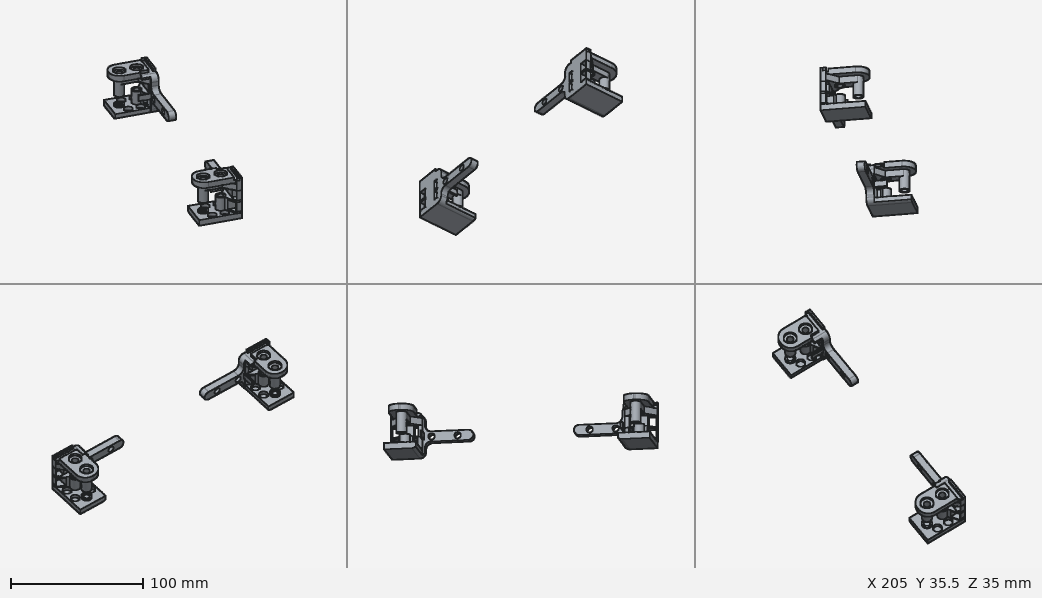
import cadquery as cq

overall_length = 205.0

base_thickness = 5.0
lower_gusset_top = 15.5
upper_gusset_bottom = 24.5
plate_bottom = 30.1
wing_top = 32.8
bracket_height = 35.0

wall_depth = 5.5
wall_width = 26.5
wall_corner_radius = 5.0
arm_depth = 6.2
arm_width = 8.0
arm_end = 63.8
arm_height = 15.5
arm_root_radius = 5.0
arm_hole_diameter = 5.0
arm_hole_xs = (31.5, 51.7)

relief_width = 2.5
relief_depth = 4.3
lip_depth = 1.8
lip_width = 19.3
groove_end_wall = 0.5

outer_inset = 0.2
base_width = 24.5
base_depth = 34.6
plate_left = 2.5
plate_right = 21.5
plate_depth = 35.5
plate_corner_radius = 9.0
wing_depth = 13.0

pivot_x = base_width / 2
boss_depth = 12.7
pin_depth = 26.9
pin_diameter = 8.0
pin_bottom = 14.1
boss_rim_height = 0.5
lower_boss_top = lower_gusset_top + boss_rim_height
upper_boss_bottom = upper_gusset_bottom - boss_rim_height
counterbore_diameter = 10.0
counterbore_depth = 2.0
screw_hole_diameter = 5.1
boss_hole_diameter = 5.0
stud_height = 1.2
stud_top = base_thickness + stud_height

upper_shoulder_depth = 13.0

window_columns = ((0.6, 6.8), (17.8, 21.1))
lower_window_bottom = 6.2
lower_window_top = 14.1
upper_window_bottom = 15.8
upper_window_top = 24.0

pocket_diameter = 7.0
pocket_depth = 3.0
pocket_spacing_x = 15.0
pocket_depths = (12.3, 22.3)

tab_right = 26.0
tab_reach = 16.0
tab_height = 5.0
tab_root_reach = 8.0
tab_thickness = 1.2


def block(x0, x1, depth0, depth1, z0, z1):
    """Box between two x positions, two depths in front of the back face and two levels."""
    corner = cq.Workplane("XY", origin=(x0, -depth1, z0))
    return corner.box(x1 - x0, depth1 - depth0, z1 - z0, centered=False)


def cylinder(diameter, x, depth, z0, z1):
    return cq.Workplane("XY", origin=(x, -depth, z0)).circle(diameter / 2).extrude(z1 - z0)


def wall_panel(depth):
    """Wall outline with rounded inner corners, as thick as given."""
    panel = block(0, wall_width, 0, depth, 0, wing_top)
    return panel.edges("|Y and >X").fillet(wall_corner_radius)


def arm():
    """Round-ended arm that flares into the wall with concave fillets."""
    half = arm_width / 2
    flare_end = wall_width + arm_root_radius
    flare_half = half + arm_root_radius
    top, bottom = arm_height + half, arm_height - half
    outline = (
        cq.Workplane("XZ")
        .moveTo(base_width, arm_height - flare_half)
        .lineTo(wall_width, arm_height - flare_half)
        .radiusArc((flare_end, bottom), arm_root_radius)
        .lineTo(arm_end - half, bottom)
        .threePointArc((arm_end, arm_height), (arm_end - half, top))
        .lineTo(flare_end, top)
        .radiusArc((wall_width, arm_height + flare_half), arm_root_radius)
        .lineTo(base_width, arm_height + flare_half)
        .close()
    )
    blade = outline.extrude(arm_depth)
    holes = (
        cq.Workplane("XZ")
        .pushPoints([(x, arm_height) for x in arm_hole_xs])
        .circle(arm_hole_diameter / 2)
        .extrude(arm_depth)
    )
    rim = wall_panel(arm_depth).intersect(block(base_width, wall_width, 0, arm_depth, 0, wing_top))
    return blade.union(rim).cut(holes)


def back_wall():
    wall = wall_panel(wall_depth)
    wall = wall.union(block(0, lip_width, 0, wall_depth, base_thickness, bracket_height))
    wall = wall.cut(block(groove_end_wall, lip_width, lip_depth, wall_depth, wing_top, bracket_height))
    wall = wall.cut(block(0, outer_inset, 0, wall_depth, 0, base_thickness))
    return wall.cut(block(0, relief_width, relief_depth, wall_depth, base_thickness, bracket_height))


def base():
    plate = block(outer_inset, base_width, 0, base_depth, 0, base_thickness)
    return plate.intersect(wall_panel(base_depth))


def top_plate():
    plate = block(plate_left, plate_right, wall_depth, plate_depth, plate_bottom, bracket_height)
    plate = plate.edges("|Z and <Y").fillet(plate_corner_radius)
    inner_corner = block(lip_width, plate_right, wall_depth, wing_depth, plate_bottom, bracket_height)
    wing = block(lip_width, base_width, wall_depth, wing_depth, plate_bottom, wing_top)
    return plate.cut(inner_corner).union(wing.intersect(wall_panel(wing_depth)))


def gusset(tip, z0, z1):
    """Plan outline from the outer end of the wall through the tip points to its inner end."""
    outline = [(0, -relief_depth), *tip, (base_width, -wall_depth), (base_width, -relief_depth)]
    return cq.Workplane("XY", origin=(0, 0, z0)).polyline(outline).close().extrude(z1 - z0)


def lower_gusset():
    """Triangle with its tip on the axis of the lower boss."""
    return gusset([(pivot_x, -boss_depth)], base_thickness, lower_gusset_top)


def upper_gusset():
    """Web as wide as the pin, running from the pin axis back to the flare."""
    outer_side = pivot_x - pin_diameter / 2
    inner_side = pivot_x + pin_diameter / 2
    tip = [
        (outer_side, -upper_shoulder_depth),
        (outer_side, -pin_depth),
        (inner_side, -pin_depth),
        (inner_side, -upper_shoulder_depth),
    ]
    return gusset(tip, upper_gusset_bottom, plate_bottom)


def bosses_and_pin():
    lower_boss = cylinder(pin_diameter, pivot_x, boss_depth, base_thickness, lower_boss_top)
    upper_boss = cylinder(pin_diameter, pivot_x, boss_depth, upper_boss_bottom, plate_bottom)
    pin = cylinder(pin_diameter, pivot_x, pin_depth, pin_bottom, plate_bottom)
    stud = cylinder(pin_diameter, pivot_x, pin_depth, base_thickness, stud_top)
    return lower_boss.union(upper_boss).union(pin).union(stud)


def windows():
    """Openings along Y through the wall, the lower row also through the lower gusset."""
    rows = ((lower_window_bottom, lower_window_top), (upper_window_bottom, upper_window_top))
    cuts = cq.Workplane("XY")
    for x0, x1 in window_columns:
        for z0, z1 in rows:
            cuts = cuts.union(block(x0, x1, 0, boss_depth, z0, z1))
    return cuts


def screw_holes():
    cuts = cylinder(boss_hole_diameter, pivot_x, boss_depth, base_thickness, lower_boss_top)
    cuts = cuts.union(cylinder(boss_hole_diameter, pivot_x, pin_depth, base_thickness, stud_top))
    for depth, bottom in ((boss_depth, upper_boss_bottom), (pin_depth, pin_bottom)):
        cuts = cuts.union(cylinder(screw_hole_diameter, pivot_x, depth, bottom, bracket_height))
        counterbore_floor = bracket_height - counterbore_depth
        cuts = cuts.union(cylinder(counterbore_diameter, pivot_x, depth, counterbore_floor, bracket_height))
    return cuts


def base_pockets():
    pocket_floor = base_thickness - pocket_depth
    cuts = cq.Workplane("XY")
    for side in (-1, 1):
        for depth in pocket_depths:
            x = pivot_x + side * pocket_spacing_x / 2
            cuts = cuts.union(cylinder(pocket_diameter, x, depth, pocket_floor, base_thickness))
    return cuts


def spring_tab():
    """Thin tab standing out from the wall, with a thicker root."""
    z0 = arm_height - tab_height / 2
    z1 = arm_height + tab_height / 2
    leaf = block(tab_right - tab_thickness, tab_right, 0, tab_reach, z0, z1)
    root = block(base_width, tab_right, 0, tab_root_reach, z0, z1)
    return leaf.union(root)


def bracket():
    body = base().cut(base_pockets())
    body = body.union(back_wall()).union(arm()).union(top_plate())
    body = body.union(lower_gusset()).union(upper_gusset()).union(bosses_and_pin()).union(spring_tab())
    return body.cut(windows()).cut(screw_holes())


left_bracket = bracket().translate((-overall_length / 2, 0, 0))
right_bracket = left_bracket.mirror("YZ")

result = cq.Compound.makeCompound([left_bracket.val(), right_bracket.val()])